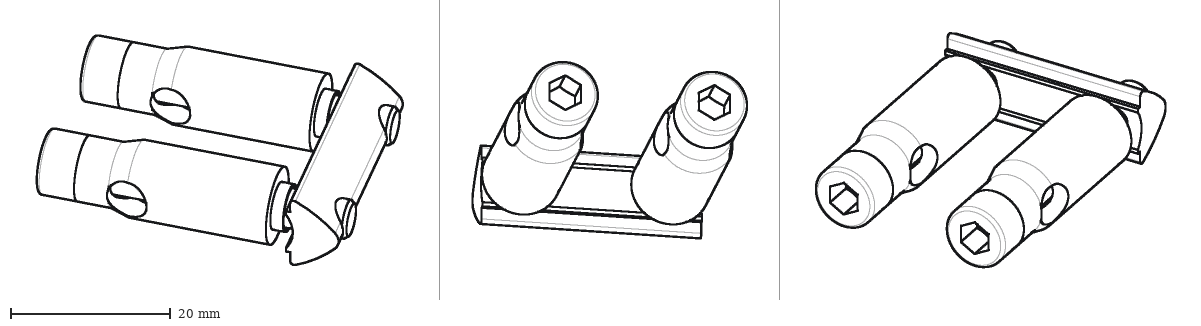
import cadquery as cq
import math

screw_length = 40.0
screw_spacing = 19.0
screw_positions = (-screw_spacing / 2, screw_spacing / 2)

head_diameter = 8.5
head_length = 5.0
head_fillet = 0.45
shank_diameter = 5.0
tip_diameter = 4.2
tip_chamfer_length = 0.5
hex_across_flats = 4.0
hex_depth = 4.0
drill_point_angle = 118.0

sleeve_diameter = 10.0
bore_diameter = 5.5
taper_start = 9.45
taper_end = 12.0
sleeve_shoulder = 30.3
spigot_diameter = 6.1
spigot_end = 31.95
cross_hole_diameter = 5.4
cross_hole_x = taper_end

bar_length = 28.0
bar_nose_x = 39.7
bar_lip_x = 32.8
bar_flange_x = 33.35
bar_half_height = 5.25
lip_half_height = 3.3
groove_half_height = 2.7
groove_bottom_x = 33.7
corner_radius = 0.5
flank_start = (34.05, 5.2)
flank_middle = (36.9, 3.45)
flank_end = (39.25, 1.25)


def x_cylinder(diameter, start, end, y):
    """Cylinder along X between two stations."""
    return cq.Workplane("YZ", origin=(start, y, 0)).circle(diameter / 2).extrude(end - start)


def make_hex_socket(y):
    """Hexagonal socket whose floor is a drill-point cone."""
    hex_corners = hex_across_flats / math.cos(math.pi / 6)
    cone_depth = hex_corners / 2 / math.tan(math.radians(drill_point_angle / 2))
    prism = (
        cq.Workplane("YZ", origin=(0, y, 0))
        .transformed(rotate=(0, 0, 90))
        .polygon(6, hex_corners)
        .extrude(hex_depth + cone_depth)
    )
    drill = (
        cq.Workplane("XY", origin=(0, y, 0))
        .polyline([(0, 0), (0, hex_corners / 2), (hex_depth, hex_corners / 2), (hex_depth + cone_depth, 0)])
        .close()
        .revolve(360, (0, 0, 0), (1, 0, 0))
    )
    return prism.intersect(drill)


def make_screw(y):
    """Cylinder-head socket screw with a chamfered tip."""
    head = x_cylinder(head_diameter, 0, head_length, y).faces("<X").edges().fillet(head_fillet)
    shank_end = screw_length - tip_chamfer_length
    shank = x_cylinder(shank_diameter, head_length, shank_end, y)
    tip = (
        cq.Workplane("YZ", origin=(shank_end, y, 0))
        .circle(shank_diameter / 2)
        .workplane(offset=tip_chamfer_length)
        .circle(tip_diameter / 2)
        .loft(ruled=True)
    )
    shank = shank.union(tip)
    return head.union(shank).cut(make_hex_socket(y))


def make_sleeve(y):
    """Tapered sleeve with a spigot, a through bore and a cross hole along Y."""
    profile = [
        (head_length, bore_diameter / 2),
        (head_length, head_diameter / 2),
        (taper_start, head_diameter / 2),
        (taper_end, sleeve_diameter / 2),
        (sleeve_shoulder, sleeve_diameter / 2),
        (sleeve_shoulder, spigot_diameter / 2),
        (spigot_end, spigot_diameter / 2),
        (spigot_end, bore_diameter / 2),
    ]
    body = (
        cq.Workplane("XY", origin=(0, y, 0))
        .polyline(profile)
        .close()
        .revolve(360, (0, 0, 0), (1, 0, 0))
    )
    cross_hole = (
        cq.Workplane("XZ", origin=(cross_hole_x, y, 0))
        .circle(cross_hole_diameter / 2)
        .extrude(sleeve_diameter / 2, both=True)
    )
    return body.cut(cross_hole)


def mirrored(point):
    """The same section point below the plane of symmetry."""
    return (point[0], -point[1])


def make_clamp_bar():
    """Wedge-shaped bar with a grooved lip, drilled for both screws."""
    corner_start = (bar_flange_x, bar_half_height - corner_radius)
    corner_crest = (bar_flange_x + corner_radius, bar_half_height)
    bar = (
        cq.Workplane("XZ")
        .moveTo(bar_lip_x, groove_half_height)
        .lineTo(bar_lip_x, lip_half_height)
        .lineTo(bar_flange_x, lip_half_height)
        .lineTo(*corner_start)
        .threePointArc(corner_crest, flank_start)
        .threePointArc(flank_middle, flank_end)
        .threePointArc((bar_nose_x, 0), mirrored(flank_end))
        .threePointArc(mirrored(flank_middle), mirrored(flank_start))
        .threePointArc(mirrored(corner_crest), mirrored(corner_start))
        .lineTo(bar_flange_x, -lip_half_height)
        .lineTo(bar_lip_x, -lip_half_height)
        .lineTo(bar_lip_x, -groove_half_height)
        .threePointArc((groove_bottom_x, 0), (bar_lip_x, groove_half_height))
        .close()
        .extrude(bar_length / 2, both=True)
    )
    for y in screw_positions:
        bar = bar.cut(x_cylinder(shank_diameter, 0, screw_length, y))
    return bar


screws = [make_screw(y) for y in screw_positions]
sleeves = [make_sleeve(y) for y in screw_positions]
clamp_bar = make_clamp_bar()

bodies = [clamp_bar, *screws, *sleeves]
result = cq.Compound.makeCompound([body.val() for body in bodies])